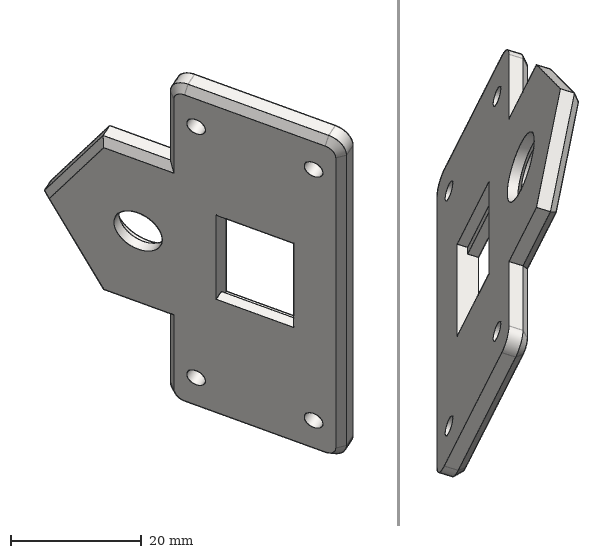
import cadquery as cq
import math

height = 72.0
total_width = 51.5
plate_width = 30.0
thickness = 3.5
corner_radius = 3.0
edge_chamfer = 1.2

tab_radius = 20.0
tab_half_height = tab_radius * math.sin(math.radians(60))
tip_x = -total_width / 2
shoulder_x = tip_x + tab_radius / 2

plate_right = total_width / 2
plate_center_x = plate_right - plate_width / 2

tab_hole_diameter = 8.2
tab_hole_x = tip_x + 16.55
window_width = 13.2
window_height = 19.1
window_offset_z = 0.5

recess_depth = 1.7
hole_recess_diameter = 11.2
window_recess_height = 22.3

screw_hole_diameter = 3.2
screw_spacing_x = 20.0
screw_spacing_z = 57.0


def front_plane():
    """Sketch plane with local axes X and Z; extrusion goes toward -Y."""
    return cq.Workplane("XZ")


def make_body():
    plate = (
        front_plane()
        .center(plate_center_x, 0)
        .rect(plate_width, height)
        .extrude(thickness)
        .edges("|Y")
        .fillet(corner_radius)
    )
    tab = (
        front_plane()
        .polyline([
            (tip_x, 0),
            (shoulder_x, tab_half_height),
            (plate_center_x, tab_half_height),
            (plate_center_x, -tab_half_height),
            (shoulder_x, -tab_half_height),
        ])
        .close()
        .extrude(thickness)
    )
    return plate.union(tab).faces("<Y").chamfer(edge_chamfer)


def round_cutters(points, diameter):
    return front_plane().pushPoints(points).circle(diameter / 2).extrude(thickness)


tab_hole = round_cutters([(tab_hole_x, 0)], tab_hole_diameter)
window = (
    front_plane()
    .center(plate_center_x, window_offset_z)
    .rect(window_width, window_height)
    .extrude(thickness)
)
hole_recess = (
    front_plane()
    .center(tab_hole_x, 0)
    .circle(hole_recess_diameter / 2)
    .extrude(recess_depth)
)
window_recess = (
    front_plane()
    .center(plate_center_x, window_offset_z)
    .rect(window_width, window_recess_height)
    .extrude(recess_depth)
)
screw_points = [
    (plate_center_x + side * screw_spacing_x / 2, end * screw_spacing_z / 2)
    for side in (-1, 1)
    for end in (-1, 1)
]
screw_holes = round_cutters(screw_points, screw_hole_diameter)

result = make_body()
for cutter in (tab_hole, hole_recess, window, window_recess, screw_holes):
    result = result.cut(cutter)